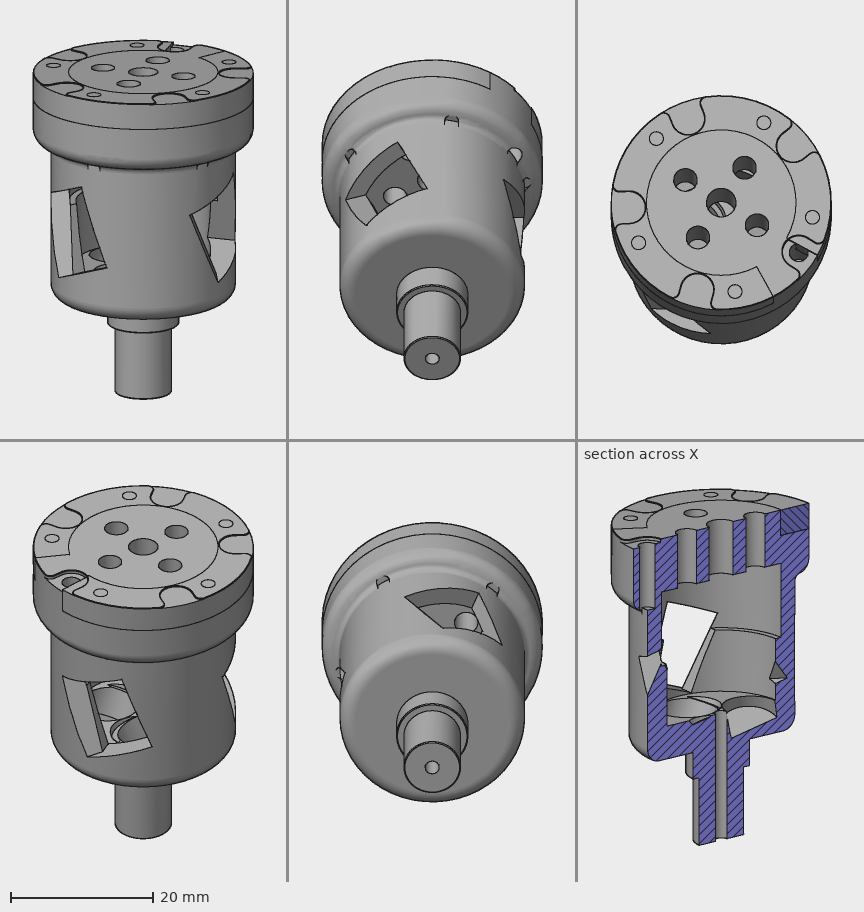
import cadquery as cq
import math

total_height = 47.0
seat_height = 43.25
flange_edge_height = 38.85
body_bottom = 14.0
collar_bottom = 10.05

head_radius = 15.5
body_radius = 13.0
collar_radius = 5.05
shaft_radius = 4.0
flange_fillet = 2.0
neck_fillet = 1.0
body_fillet = 2.1
edge_chamfer = 0.1
shaft_chamfer = 0.15

cavity_floor = 18.95
cavity_ledge = 28.05
cavity_top = 39.0
lower_cavity_radius = 9.5
upper_cavity_radius = 10.5
center_hole_radius = 2.05
shaft_hole_radius = 1.0
plate_hole_radius = 1.65
plate_hole_circle = 6.0

ring_inner_radius = 10.55
ring_gap_half_angle = 16.3
peg_radius = 1.0
peg_circle = body_radius
peg_count = 5
peg_pitch = 360 / peg_count
first_peg_angle = 41.6
ring_gap_angle = first_peg_angle + peg_pitch / 2
pocket_first_angle = 90.0
pocket_half_width = 2.3
pocket_mouth_radius = 0.95
pocket_depth = 0.15
notch_hole_radius = 1.3
notch_depth = 0.5

window_count = 3
window_first_angle = 240.0
window_pitch = 360 / window_count
window_tilt = 20.0
window_center_height = 25.6
window_bottom = -5.6
window_top = 6.35
window_half_width = 4.0
window_offset = 0.15
socket_floor = -10.45
socket_radius = 4.15
socket_distance = 4.55
socket_offset = 0.0
counterbore_radius = 4.0
counterbore_distance = 4.95
counterbore_offset = -0.95
counterbore_floor = -6.1
lead_in_turn = 70.0
lead_in_distance = 7.4


def polar(radius, angle):
    return (radius * math.cos(math.radians(angle)), radius * math.sin(math.radians(angle)))


def upright_cylinder(radius, bottom, top, center=(0, 0)):
    return cq.Workplane("XY", origin=(*center, bottom)).circle(radius).extrude(top - bottom)


flange_fillet_center = (head_radius - flange_fillet, flange_edge_height)
neck_center_radius = body_radius + neck_fillet
fillet_reach = flange_fillet + neck_fillet
neck_drop = math.sqrt(fillet_reach**2 - (neck_center_radius - flange_fillet_center[0])**2)
neck_center = (neck_center_radius, flange_edge_height - neck_drop)
neck_bottom = neck_center[1]
neck_share = neck_fillet / fillet_reach
neck_top = (
    neck_center[0] + (flange_fillet_center[0] - neck_center[0]) * neck_share,
    neck_center[1] + (flange_fillet_center[1] - neck_center[1]) * neck_share,
)


def arc_point(center, radius, angle):
    dx, dz = polar(radius, angle)
    return (center[0] + dx, center[1] + dz)


def outer_solid():
    """Head, body, collar and shaft turned as one solid, without holes."""
    body_fillet_center = (body_radius - body_fillet, body_bottom + body_fillet)
    return (
        cq.Workplane("XZ")
        .moveTo(0, 0)
        .lineTo(shaft_radius - shaft_chamfer, 0)
        .lineTo(shaft_radius, shaft_chamfer)
        .lineTo(shaft_radius, collar_bottom)
        .lineTo(collar_radius - shaft_chamfer, collar_bottom)
        .lineTo(collar_radius, collar_bottom + shaft_chamfer)
        .lineTo(collar_radius, body_bottom)
        .lineTo(body_fillet_center[0], body_bottom)
        .threePointArc(
            arc_point(body_fillet_center, body_fillet, -45), (body_radius, body_fillet_center[1])
        )
        .lineTo(body_radius, neck_bottom)
        .threePointArc(arc_point(neck_center, neck_fillet, 135), neck_top)
        .threePointArc(
            arc_point(flange_fillet_center, flange_fillet, -40), (head_radius, flange_edge_height)
        )
        .lineTo(head_radius, total_height)
        .lineTo(0, total_height)
        .close()
        .revolve(360, (0, 0, 0), (0, 1, 0))
    )


def rim_pocket(angle, depth):
    """Round-ended pocket in the rim whose mouth flares out to the edge."""
    flare_offset = pocket_half_width + pocket_mouth_radius
    flare_circle = head_radius - pocket_mouth_radius
    flare_x = math.sqrt(flare_circle**2 - flare_offset**2)
    flare_angle = math.degrees(math.atan2(flare_offset, flare_x))
    rim_x, rim_y = polar(head_radius, flare_angle)
    middle_angle = (flare_angle - 90) / 2
    mid_dx, mid_dy = polar(pocket_mouth_radius, middle_angle)
    mid_x, mid_y = flare_x + mid_dx, flare_offset + mid_dy
    outside = head_radius + pocket_mouth_radius
    return (
        cq.Workplane("XY", origin=(0, 0, total_height - depth))
        .moveTo(peg_circle, pocket_half_width)
        .lineTo(flare_x, pocket_half_width)
        .threePointArc((mid_x, mid_y), (rim_x, rim_y))
        .lineTo(outside, rim_y)
        .lineTo(outside, -rim_y)
        .lineTo(rim_x, -rim_y)
        .threePointArc((mid_x, -mid_y), (flare_x, -pocket_half_width))
        .lineTo(peg_circle, -pocket_half_width)
        .threePointArc((peg_circle - pocket_half_width, 0), (peg_circle, pocket_half_width))
        .close()
        .extrude(depth)
        .rotate((0, 0, 0), (0, 0, 1), angle)
    )


def ring_space():
    """C-shaped space at the top of the head, with the pegs left out of it."""
    space = upright_cylinder(head_radius + 0.45, seat_height, total_height)
    space = space.cut(upright_cylinder(ring_inner_radius, seat_height, total_height))
    reach = 2 * head_radius
    gap = (
        cq.Workplane("XY", origin=(0, 0, seat_height))
        .polyline([
            (0, 0),
            polar(reach, ring_gap_angle - ring_gap_half_angle),
            polar(reach, ring_gap_angle + ring_gap_half_angle),
        ])
        .close()
        .extrude(total_height - seat_height)
    )
    space = space.cut(gap)
    for index in range(peg_count):
        center = polar(peg_circle, first_peg_angle + index * peg_pitch)
        space = space.cut(upright_cylinder(peg_radius, seat_height, total_height, center))
    return space


def window_frame(angle):
    """Work plane of a window: local x points outward, local z is its tilted upright axis."""
    outward = polar(1, angle)
    sideways = polar(1, angle + 90)
    lean = math.sin(math.radians(window_tilt))
    rise = math.cos(math.radians(window_tilt))
    return cq.Plane(
        origin=(0, 0, window_center_height),
        xDir=(*outward, 0),
        normal=(-sideways[0] * lean, -sideways[1] * lean, rise),
    )


def window_slab(angle, near, far, low, high):
    """Block in a window's frame, long outward, from side position low to high."""
    return (
        cq.Workplane(window_frame(angle))
        .workplane(offset=window_bottom)
        .moveTo(near, low)
        .lineTo(far, low)
        .lineTo(far, high)
        .lineTo(near, high)
        .close()
        .extrude(window_top - window_bottom)
    )


def window_cut(angle):
    """Window with its round socket and the slanted side wall that leads into it."""
    reach = 2 * head_radius
    left = window_offset - window_half_width
    right = window_offset + window_half_width
    opening = window_slab(angle, socket_distance, reach, left, right)
    socket = (
        cq.Workplane(window_frame(angle))
        .workplane(offset=socket_floor)
        .center(socket_distance, socket_offset)
        .circle(socket_radius)
        .extrude(window_top - socket_floor)
    )
    counterbore = (
        cq.Workplane(window_frame(angle))
        .workplane(offset=counterbore_floor)
        .center(counterbore_distance, counterbore_offset)
        .circle(counterbore_radius)
        .extrude(window_top - counterbore_floor)
    )
    lead_in = window_slab(angle, socket_distance, reach, -reach, right)
    tilted_block = (
        cq.Workplane(window_frame(angle - lead_in_turn))
        .workplane(offset=-reach)
        .moveTo(-reach, lead_in_distance)
        .lineTo(reach, lead_in_distance)
        .lineTo(reach, reach)
        .lineTo(-reach, reach)
        .close()
        .extrude(2 * reach)
    )
    return opening.union(socket).union(counterbore).union(lead_in.intersect(tilted_block))


def cavity():
    """Stepped bore, the central passage and the four holes through the top plate."""
    space = upright_cylinder(lower_cavity_radius, cavity_floor, cavity_top)
    space = space.union(upright_cylinder(upper_cavity_radius, cavity_ledge, cavity_top))
    space = space.union(upright_cylinder(shaft_hole_radius, 0, cavity_floor))
    space = space.union(upright_cylinder(center_hole_radius, cavity_top, total_height))
    for angle in range(0, 360, 90):
        center = polar(plate_hole_circle, angle)
        space = space.union(upright_cylinder(plate_hole_radius, cavity_top, total_height, center))
    return space


def neck_reliefs():
    """Upright grooves in the neck fillet below the pegs and the notch, clear of the body wall."""
    reliefs = upright_cylinder(
        notch_hole_radius, neck_bottom, neck_top[1], polar(peg_circle, pocket_first_angle)
    )
    for index in range(peg_count):
        center = polar(peg_circle, first_peg_angle + index * peg_pitch)
        reliefs = reliefs.union(upright_cylinder(peg_radius, neck_bottom, neck_top[1], center))
    return reliefs.cut(upright_cylinder(body_radius, neck_bottom, neck_top[1]))


def make_blank():
    """Outer solid with the rim pockets, its whole top outline lightly chamfered."""
    blank = outer_solid()
    for index in range(peg_count):
        blank = blank.cut(rim_pocket(pocket_first_angle + index * peg_pitch, pocket_depth))
    return blank.faces(">Z").edges().chamfer(edge_chamfer)


def make_ring(blank):
    return blank.intersect(ring_space())


def make_housing(blank):
    housing = blank.cut(ring_space()).cut(cavity())
    for index in range(window_count):
        housing = housing.cut(window_cut(window_first_angle + index * window_pitch))
    notch = rim_pocket(pocket_first_angle, notch_depth).cut(ring_space())
    notch_center = polar(peg_circle, pocket_first_angle)
    notch_hole = upright_cylinder(notch_hole_radius, neck_top[1], total_height, notch_center)
    return housing.cut(notch).cut(notch_hole.cut(ring_space())).cut(neck_reliefs())


blank = make_blank()
ring = make_ring(blank)
housing = make_housing(blank)

result = cq.Compound.makeCompound([housing.val(), ring.val()])